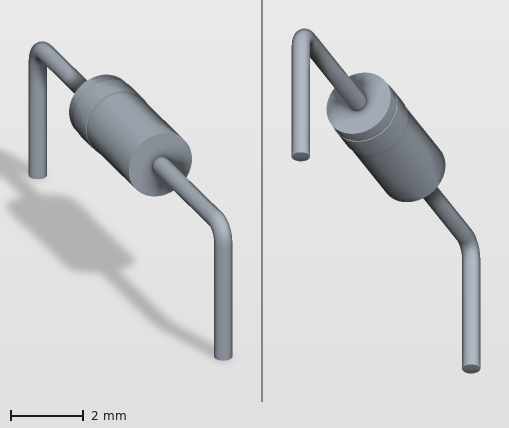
import cadquery as cq

overall_length = 13.21
overall_height = 4.95

lead_diameter = 0.5
bend_radius = 0.5

body_diameter = 1.9
body_length = 4.1
band_diameter = 1.95
band_length = 0.79
band_inset = 0.42

lead_x = (overall_length - lead_diameter) / 2
lead_bottom = band_diameter / 2 - overall_height


def cylinder_along_x(start_x, length, diameter):
    return cq.Workplane("YZ", origin=(start_x, 0, 0)).circle(diameter / 2).extrude(length)


def make_lead():
    """One wire running through the body, bent down at both ends."""
    straight_x = lead_x - bend_radius
    path = (
        cq.Workplane("XZ")
        .moveTo(-lead_x, lead_bottom)
        .lineTo(-lead_x, -bend_radius)
        .radiusArc((-straight_x, 0), bend_radius)
        .lineTo(straight_x, 0)
        .radiusArc((lead_x, -bend_radius), bend_radius)
        .lineTo(lead_x, lead_bottom)
    )
    wire_end = cq.Workplane("XY", origin=(-lead_x, 0, lead_bottom))
    return wire_end.circle(lead_diameter / 2).sweep(path)


body_start = -body_length / 2
body = cylinder_along_x(body_start, body_length, body_diameter)
band = cylinder_along_x(body_start + band_inset, band_length, band_diameter)

result = body.union(band).union(make_lead())